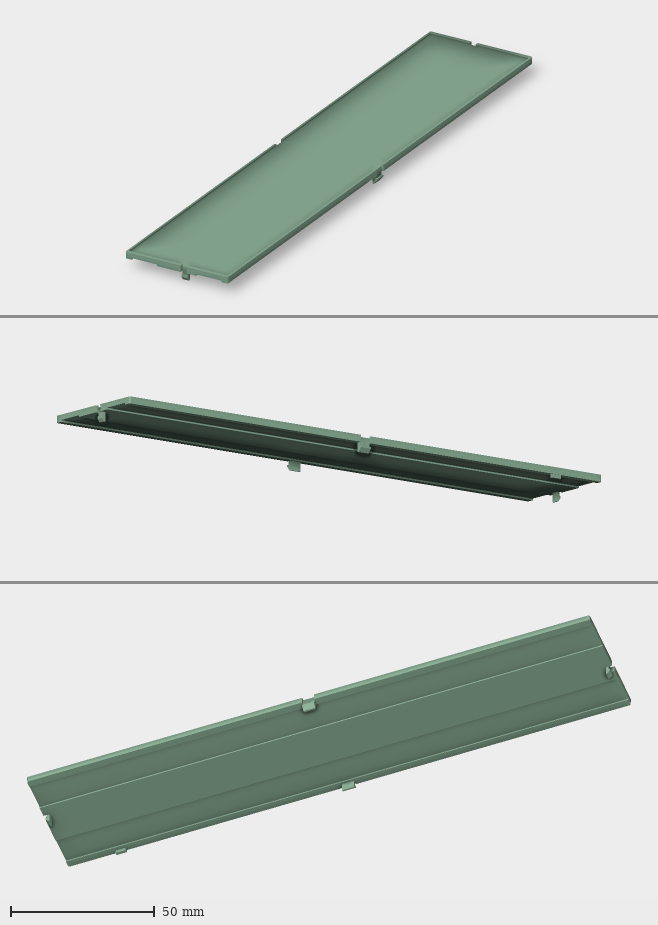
import cadquery as cq
import math

length_x = 41.4
length_y = 209.34
total_height = 5.9
corner_radius = 0.7
wall_draft = 1.0

panel_x = 40.0
panel_y = 206.74
recess_depth = 0.6
rim_x = (length_x - panel_x) / 2
rim_y = (length_y - panel_y) / 2

body_height = 2.5
plate_bottom = 1.9
channel_inner_x = 7.9
channel_outer_x = 18.1

hook_top = 3.8
clip_tip_thickness = 0.6
lead_in_angle = 52
side_clip_width = 4.4
side_stem_thickness = 1.1
side_hook_reach = rim_x
end_clip_width = 2.5
end_stem_thickness = 1.0
end_hook_reach = 0.5
end_clip_offset = 2.85

tab_length = 3.8
tab_inset = 0.2
tab_thickness = 1.1
tab_bottom = 3.8
tab_center_y = -84.8


def box_between(x_min, x_max, y_min, y_max, z_min, z_max):
    """Axis-aligned box given by its limits."""
    size = (x_max - x_min, y_max - y_min, z_max - z_min)
    return cq.Workplane("XY").box(*size, centered=False).translate((x_min, y_min, z_min))


def make_body():
    """Rounded, slightly drafted slab with the top recess and the underside channels."""
    body = (
        cq.Workplane("XY")
        .sketch()
        .rect(length_x, length_y)
        .vertices()
        .fillet(corner_radius)
        .finalize()
        .extrude(-body_height, taper=wall_draft)
    )
    body = body.cut(
        box_between(-panel_x / 2, panel_x / 2, -panel_y / 2, panel_y / 2, -recess_depth, 0)
    )
    channel_width = channel_outer_x - channel_inner_x
    channel_center_x = (channel_outer_x + channel_inner_x) / 2
    for side in (-1, 1):
        channel = (
            cq.Workplane("XY")
            .box(channel_width, length_y, body_height - plate_bottom, centered=(True, True, False))
            .translate((side * channel_center_x, 0, -body_height))
        )
        body = body.cut(channel)
    return body


def add_clip(body, edge_distance, rim, stem_thickness, hook_reach, width, offset, angle):
    """Notch the rim and add a hooked clip, laid out on the +X edge and turned about Z by angle."""
    stem_outer = edge_distance - rim
    stem_inner = stem_outer - stem_thickness
    hook_tip = stem_outer + hook_reach
    tip_outer = stem_inner + clip_tip_thickness
    lead_in_top = total_height - (hook_tip - tip_outer) * math.tan(math.radians(lead_in_angle))
    notch = box_between(
        stem_outer, edge_distance, offset - width / 2, offset + width / 2, -body_height, 0
    )
    clip = (
        cq.Workplane("XZ", origin=(0, offset, 0))
        .moveTo(stem_inner, -recess_depth)
        .lineTo(stem_outer, -recess_depth)
        .lineTo(stem_outer, -hook_top)
        .lineTo(hook_tip, -hook_top)
        .lineTo(hook_tip, -lead_in_top)
        .lineTo(tip_outer, -total_height)
        .lineTo(stem_inner, -total_height)
        .close()
        .extrude(width / 2, both=True)
    )
    vertical_axis = ((0, 0, 0), (0, 0, 1))
    return body.cut(notch.rotate(*vertical_axis, angle)).union(clip.rotate(*vertical_axis, angle))


def make_tab():
    """Tab hanging below the -X edge, set slightly in from the outer face."""
    tab_outer_x = -length_x / 2 + tab_inset
    return box_between(
        tab_outer_x,
        tab_outer_x + tab_thickness,
        tab_center_y - tab_length / 2,
        tab_center_y + tab_length / 2,
        -tab_bottom,
        -plate_bottom,
    )


result = make_body()
for side_angle in (0, 180):
    result = add_clip(
        result,
        edge_distance=length_x / 2,
        rim=rim_x,
        stem_thickness=side_stem_thickness,
        hook_reach=side_hook_reach,
        width=side_clip_width,
        offset=0,
        angle=side_angle,
    )
for end_angle in (90, 270):
    result = add_clip(
        result,
        edge_distance=length_y / 2,
        rim=rim_y,
        stem_thickness=end_stem_thickness,
        hook_reach=end_hook_reach,
        width=end_clip_width,
        offset=end_clip_offset,
        angle=end_angle,
    )
result = result.union(make_tab())